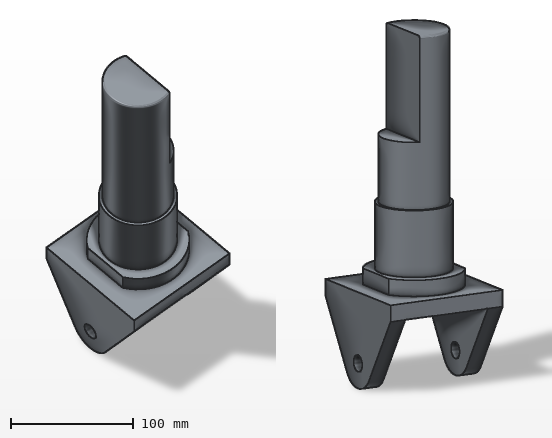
import cadquery as cq
import math

plate_side = 105.8
plate_thickness = 14.0
lug_thickness = 14.0
pin_height = 21.0
pin_diameter = 14.0
lug_tip_radius = pin_height
plate_bottom = 67.0
plate_top = plate_bottom + plate_thickness

flange_diameter = 83.5
flange_across_flats = 72.3
flange_top = 94.5
collar_diameter = 64.0
collar_top = 150.5
shaft_diameter = 58.5
shaft_top = 296.5
top_fillet = 2.5

flat_offset = 10.5
flat_bottom = 207.2


def cylinder(diameter, bottom, top):
    return cq.Workplane("XY").workplane(offset=bottom).circle(diameter / 2).extrude(top - bottom)


def make_plate():
    return (
        cq.Workplane("XY")
        .workplane(offset=plate_bottom)
        .rect(plate_side, plate_side)
        .extrude(plate_thickness)
    )


def make_lug(front_y):
    """Tapered lug whose straight sides run tangent into the round tip."""
    half_width = plate_side / 2
    rise = plate_bottom - pin_height
    corner_distance = math.hypot(half_width, rise)
    tangent_angle = math.atan2(rise, half_width) - math.acos(lug_tip_radius / corner_distance)
    tangent_x = lug_tip_radius * math.cos(tangent_angle)
    tangent_z = pin_height + lug_tip_radius * math.sin(tangent_angle)
    return (
        cq.Workplane("XZ", origin=(0, front_y + lug_thickness, 0))
        .moveTo(-half_width, plate_top)
        .lineTo(half_width, plate_top)
        .lineTo(half_width, plate_bottom)
        .lineTo(tangent_x, tangent_z)
        .threePointArc((0, pin_height - lug_tip_radius), (-tangent_x, tangent_z))
        .lineTo(-half_width, plate_bottom)
        .close()
        .moveTo(0, pin_height)
        .circle(pin_diameter / 2)
        .extrude(lug_thickness)
    )


def make_flange():
    flats = cq.Workplane("XY").box(flange_diameter, flange_across_flats, 2 * flange_top)
    return cylinder(flange_diameter, plate_top, flange_top).intersect(flats)


def make_shaft():
    shaft = cylinder(shaft_diameter, collar_top, shaft_top)
    shaft = shaft.faces(">Z").edges().fillet(top_fillet)
    flat_cut = (
        cq.Workplane("XY")
        .box(shaft_diameter, shaft_diameter, shaft_top - flat_bottom, centered=(True, False, False))
        .translate((0, flat_offset, flat_bottom))
    )
    return shaft.cut(flat_cut)


result = make_plate()
for lug_front_y in (-plate_side / 2, plate_side / 2 - lug_thickness):
    result = result.union(make_lug(lug_front_y))
result = result.union(make_flange())
result = result.union(cylinder(collar_diameter, flange_top, collar_top))
result = result.union(make_shaft())